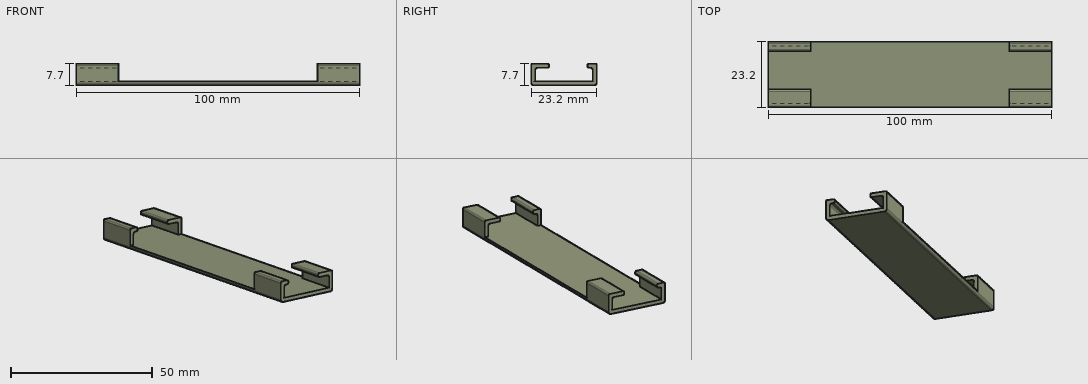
import cadquery as cq

length = 100.0
width = 23.2
height = 7.7

thickness = 1.5
short_lip = 3.4
long_lip = 6.4
edge_radius = 0.6
base_radius = 1.0
short_lip_radius = 0.7
inner_radius = 0.8

clip_length = 15.0

half_width = width / 2
lip_underside = height - thickness
inner_wall = half_width - thickness


def round_edges(body, points, radius):
    """Round the edges along X that pass through the given (y, z) points."""
    reach = 0.1
    for y, z in points:
        selector = cq.selectors.BoxSelector(
            (-length, y - reach, z - reach),
            (length, y + reach, z + reach),
        )
        body = body.edges("|X").edges(selector).fillet(radius)
    return body


short_lip_end = half_width - short_lip
long_lip_end = long_lip - half_width
outline = [
    (-half_width, 0),
    (half_width, 0),
    (half_width, height),
    (short_lip_end, height),
    (short_lip_end, lip_underside),
    (inner_wall, lip_underside),
    (inner_wall, thickness),
    (-inner_wall, thickness),
    (-inner_wall, lip_underside),
    (long_lip_end, lip_underside),
    (long_lip_end, height),
    (-half_width, height),
]
channel = cq.Workplane("YZ").polyline(outline).close().extrude(length / 2, both=True)

base_points = [(-half_width, 0), (half_width, 0)]
channel = round_edges(channel, base_points, base_radius)

upper_points = [
    (-half_width, height),
    (half_width, height),
    (long_lip_end, height),
    (long_lip_end, lip_underside),
]
channel = round_edges(channel, upper_points, edge_radius)

short_lip_points = [(short_lip_end, height), (short_lip_end, lip_underside)]
channel = round_edges(channel, short_lip_points, short_lip_radius)

inner_points = [(-inner_wall, lip_underside), (inner_wall, lip_underside)]
channel = round_edges(channel, inner_points, inner_radius)

gap = (
    cq.Workplane("XY")
    .workplane(offset=thickness)
    .rect(length - 2 * clip_length, width)
    .extrude(height - thickness)
)
result = channel.cut(gap)